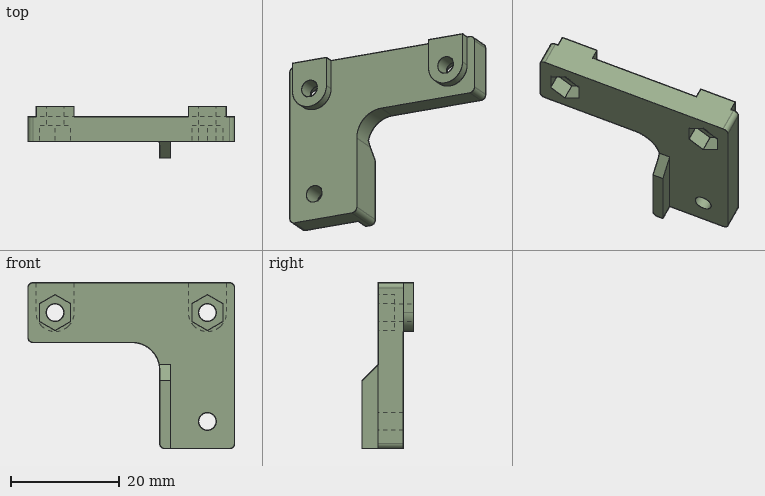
import cadquery as cq

width = 38.0
height = 30.5
plate_thickness = 4.6
top_arm_height = 11.02
side_arm_width = 13.8
inner_radius = 5.0
corner_radius = 1.0

hole_diameter = 3.2
hole_side_inset = 5.0
upper_hole_drop = 5.5
lower_hole_height = 5.0
nut_across_flats = 5.7
nut_pocket_depth = 3.0

boss_width = 7.0
boss_depth = 1.9

rib_thickness = 2.0
rib_projection = 3.0
rib_height = 15.5

side_arm_left = width - side_arm_width
top_arm_bottom = height - top_arm_height
right_hole_x = width - hole_side_inset
upper_hole_z = height - upper_hole_drop
upper_holes = [(hole_side_inset, upper_hole_z), (right_hole_x, upper_hole_z)]
all_holes = upper_holes + [(right_hole_x, lower_hole_height)]


def section_at(y):
    """Workplane at depth y, with local axes along X and Z and normal toward -Y."""
    return cq.Workplane("XZ", origin=(0, y, 0))


def make_l_block(back_y, depth):
    """L-shaped block, reaching forward from back_y, with rounded corners and a larger inner fillet."""
    outline = [
        (0, height),
        (width, height),
        (width, 0),
        (side_arm_left, 0),
        (side_arm_left, top_arm_bottom),
        (0, top_arm_bottom),
    ]
    block = section_at(back_y).polyline(outline).close().extrude(depth)
    inner_corner = cq.selectors.NearestToPointSelector((side_arm_left, back_y - depth / 2, top_arm_bottom))
    block = block.edges(inner_corner).fillet(inner_radius)
    return block.edges("|Y").filter(is_outer_corner).fillet(corner_radius)


def is_outer_corner(edge):
    """True for the sharp plate corners, which lie on the bounding rectangle's sides."""
    center = edge.Center()
    on_side = min(center.x, width - center.x) < corner_radius
    on_bottom = center.z < corner_radius
    return on_side or on_bottom


def make_boss(x, z):
    """Rear boss around an upper hole: flush with the top edge, round at the bottom."""
    radius = boss_width / 2
    return (
        section_at(plate_thickness + boss_depth)
        .moveTo(x - radius, height)
        .lineTo(x - radius, z)
        .threePointArc((x, z - radius), (x + radius, z))
        .lineTo(x + radius, height)
        .close()
        .extrude(boss_depth)
    )


def make_rib():
    """Rib with a 45 degree top; its outer side follows the plate's inner edge, arc included."""
    rib_right = side_arm_left + rib_thickness
    profile = (
        cq.Workplane("YZ")
        .moveTo(plate_thickness, 0)
        .lineTo(-rib_projection, 0)
        .lineTo(-rib_projection, rib_height - rib_projection)
        .lineTo(0, rib_height)
        .lineTo(plate_thickness, rib_height)
        .close()
        .extrude(rib_right)
    )
    return make_l_block(plate_thickness, plate_thickness + rib_projection).intersect(profile)


def make_nut_pocket(x, z):
    """Hexagonal pocket in the front face, with corners at top and bottom."""
    return (
        section_at(nut_pocket_depth)
        .center(x, z)
        .polygon(6, nut_across_flats, circumscribed=True)
        .extrude(nut_pocket_depth)
    )


result = make_l_block(plate_thickness, plate_thickness).union(make_rib())
for hole_x, hole_z in upper_holes:
    result = result.union(make_boss(hole_x, hole_z))

hole_length = plate_thickness + boss_depth
holes = section_at(hole_length).pushPoints(all_holes).circle(hole_diameter / 2).extrude(hole_length)
result = result.cut(holes)
for hole_x, hole_z in upper_holes:
    result = result.cut(make_nut_pocket(hole_x, hole_z))